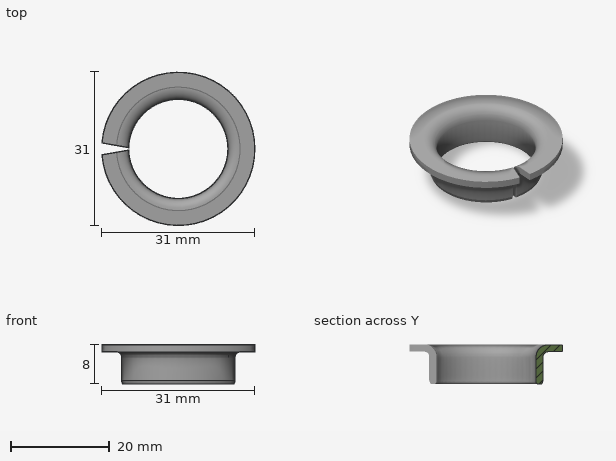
import cadquery as cq
import math

flange_radius = 15.5
bore_radius = 10.0
wall = 1.5
height = 8.0
outer_bend_radius = 1.0
tip_chamfer_height = 0.7
tip_chamfer_angle = 20.0
bore_lip_radius = 0.5
slit_apex_radius = 8.75
slit_half_angle = 10.0

sleeve_radius = bore_radius + wall
inner_bend_radius = outer_bend_radius + wall
bend_center_radius = bore_radius + inner_bend_radius
bend_center_z = height - inner_bend_radius
tip_chamfer_width = tip_chamfer_height * math.tan(math.radians(tip_chamfer_angle))


def bend_point(radius):
    """Middle of a quarter bend arc, on the -X side of the XZ plane."""
    offset = radius * math.sqrt(0.5)
    return (-bend_center_radius + offset, bend_center_z + offset)


def lip_point():
    """Middle of the round at the lower end of the bore, on the -X side."""
    offset = bore_lip_radius * (1 - math.sqrt(0.5))
    return (-bore_radius - offset, offset)


def flanged_sleeve():
    """Revolve the constant-thickness wall that bends out into the flange.

    The profile sits on the -X side, so the revolve seam falls inside the slit.
    """
    return (
        cq.Workplane("XZ")
        .moveTo(-bore_radius - bore_lip_radius, 0)
        .lineTo(-sleeve_radius + tip_chamfer_width, 0)
        .lineTo(-sleeve_radius, tip_chamfer_height)
        .lineTo(-sleeve_radius, bend_center_z)
        .threePointArc(bend_point(outer_bend_radius), (-bend_center_radius, height - wall))
        .lineTo(-flange_radius, height - wall)
        .lineTo(-flange_radius, height)
        .lineTo(-bend_center_radius, height)
        .threePointArc(bend_point(inner_bend_radius), (-bore_radius, bend_center_z))
        .lineTo(-bore_radius, bore_lip_radius)
        .threePointArc(lip_point(), (-bore_radius - bore_lip_radius, 0))
        .close()
        .revolve(360, (0, 0, 0), (0, 1, 0))
    )


def slit_wedge():
    """Wedge that opens outward on the -X side, through the full height."""
    reach = flange_radius * 1.1
    half_width = (reach - slit_apex_radius) * math.tan(math.radians(slit_half_angle))
    return (
        cq.Workplane("XY")
        .polyline([(-slit_apex_radius, 0), (-reach, half_width), (-reach, -half_width)])
        .close()
        .extrude(height)
    )


result = flanged_sleeve().cut(slit_wedge())